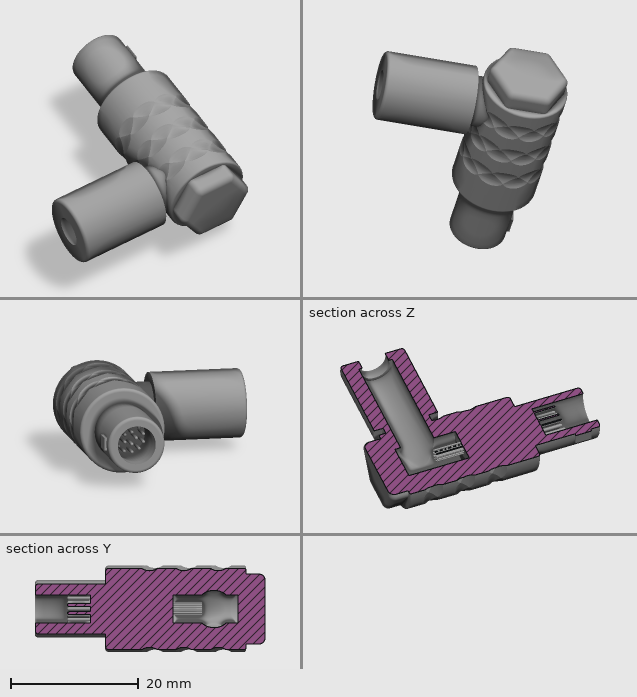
import cadquery as cq
import math

total_length = 36.0
total_width = 29.0
edge_radius = 0.5

nose_radius = 4.5
nose_length = 10.98
nose_bore_radius = 3.02
nose_bore_depth = 8.65
key_start = 1.65
key_end = 4.35
key_width = 1.98
key_top = 4.82

body_diameter = 13.5
body_radius = body_diameter / 2
body_end = 33.0
body_rear_radius = 0.3

band_count = 3
first_band = 18.32
band_pitch = 5.35
ring_spacing = 0.85
cuts_per_ring = 10
cut_radius = 2.25
cut_depth = 0.35
cut_angle = 360 / cuts_per_ring

hex_across_flats = 11.0
hex_across_corners = hex_across_flats / math.cos(math.radians(30))
hex_edge_radius = 1.0

arm_x = 27.97
arm_end = total_width - body_radius
arm_start = 7.7
arm_radius = 5.45
neck_radius = 3.95
cable_hole_radius = 2.35
cable_hole_depth = 1.65
arm_cavity_radius = 2.88

rear_cavity_start = 21.6
rear_cavity_end = 31.68

contact_rings = [(11, 2.25, 0), (5, 1.0, 180)]
pin_radius = 0.25
pin_length = 3.6
lead_radius = 0.125
lead_end = 26.15
lead_ring_scale = 0.39


def x_cylinder(radius, start, end):
    return cq.Workplane("YZ", origin=(start, 0, 0)).circle(radius).extrude(end - start)


def arm_cylinder(radius, start, end):
    """Cylinder on the arm axis between two distances out from the plug axis."""
    return cq.Workplane("XZ", origin=(arm_x, -start, 0)).circle(radius).extrude(end - start)


def make_nose():
    tube = x_cylinder(nose_radius, 0, nose_length).faces("<X").edges().fillet(edge_radius)
    key_root = (nose_radius + nose_bore_radius) / 2
    key = (
        cq.Workplane("XY", origin=(key_start, key_root, 0))
        .box(key_end - key_start, key_top - key_root, key_width, centered=(False, False, True))
    )
    return tube.union(key)


def scallop_ring(x, first_angle):
    """Tangential cylinders that scoop one ring of concave cuts out of the grip."""
    axis_height = body_radius - cut_depth + cut_radius
    reach = body_radius
    cutter = (
        cq.Workplane("XZ", origin=(x, reach / 2, axis_height))
        .circle(cut_radius)
        .extrude(reach)
    )
    return [
        cutter.rotate((0, 0, 0), (1, 0, 0), first_angle + i * cut_angle)
        for i in range(cuts_per_ring)
    ]


def make_body():
    body = x_cylinder(body_radius, nose_length, body_end)
    body = body.faces("<X").edges().fillet(edge_radius)
    body = body.faces(">X").edges().fillet(body_rear_radius)
    cutters = []
    for band in range(band_count):
        band_x = first_band + band * band_pitch
        cutters += scallop_ring(band_x - ring_spacing / 2, cut_angle / 2)
        cutters += scallop_ring(band_x + ring_spacing / 2, 0)
    grip = body.val().cut(*[cutter.val() for cutter in cutters])
    return cq.Workplane(grip)


def make_hexagon():
    return (
        cq.Workplane("YZ", origin=(body_end, 0, 0))
        .polygon(6, hex_across_corners)
        .extrude(total_length - body_end)
        .edges("|X or >X")
        .fillet(hex_edge_radius)
    )


def make_arm():
    neck = arm_cylinder(neck_radius, 0, arm_start)
    sleeve = arm_cylinder(arm_radius, arm_start, arm_end)
    return neck.union(sleeve.faces("<Y").edges().fillet(edge_radius))


def make_cavities():
    nose_bore = x_cylinder(nose_bore_radius, 0, nose_bore_depth)
    rear_cavity = x_cylinder(nose_bore_radius, rear_cavity_start, rear_cavity_end)
    arm_cavity = arm_cylinder(arm_cavity_radius, 0, arm_end - cable_hole_depth)
    cable_hole = arm_cylinder(cable_hole_radius, 0, arm_end)
    return [nose_bore, rear_cavity, arm_cavity, cable_hole]


def contact_points(scale):
    """(y, z) centres of the contacts on both rings."""
    points = []
    for count, ring_radius, first_angle in contact_rings:
        for i in range(count):
            angle = math.radians(first_angle + i * 360 / count)
            points.append((
                scale * ring_radius * math.cos(angle),
                scale * ring_radius * math.sin(angle),
            ))
    return points


def make_contacts():
    dome_start = nose_bore_depth - pin_length + pin_radius
    pins = (
        cq.Workplane("YZ", origin=(dome_start, 0, 0))
        .pushPoints(contact_points(1))
        .circle(pin_radius)
        .extrude(pin_length)
    )
    domes = (
        cq.Workplane("YZ", origin=(dome_start, 0, 0))
        .pushPoints(contact_points(1))
        .sphere(pin_radius)
    )
    leads = (
        cq.Workplane("YZ", origin=(rear_cavity_start - lead_radius, 0, 0))
        .pushPoints(contact_points(lead_ring_scale))
        .circle(lead_radius)
        .extrude(lead_end - rear_cavity_start + lead_radius)
    )
    return [pins, domes, leads]


result = make_nose().union(make_body()).union(make_hexagon()).union(make_arm())
for cavity in make_cavities():
    result = result.cut(cavity)
for contacts in make_contacts():
    result = result.union(contacts)